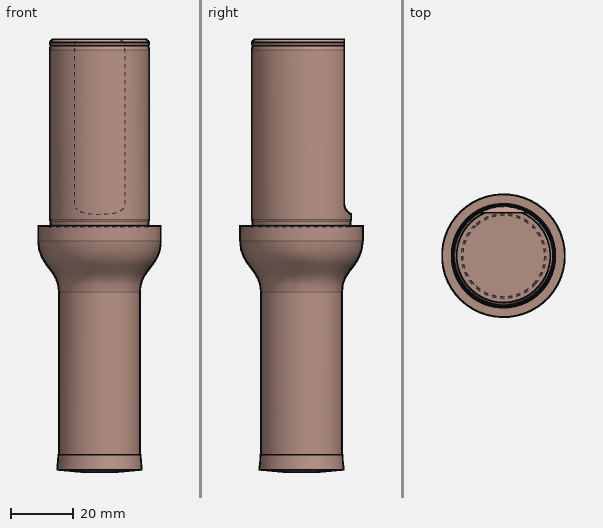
import cadquery as cq
import math

total_length = 139.0
cone_height = 0.8
cutting_head_top = 5.7
blend_bottom = 58.0
flange_bottom = 74.4
flange_top = 79.1

head_radius = 27.2 / 2
head_top_radius = 26.4 / 2
end_flat_radius = 4.6
neck_radius = 26.1 / 2
flange_radius = 39.5 / 2
shank_radius = 32.0 / 2
relief_radius = 31.5 / 2

lower_relief_height = 1.4
relief_taper = 0.7
undercut_radius = 33.4 / 2
undercut_floor = flange_top - 0.3
undercut_round = 0.5
chamfer = 1.0
end_land_bottom = total_length - 1.4
upper_relief_top = total_length - 2.2
upper_relief_bottom = total_length - 3.5

flat_distance = 13.8
flat_round_radius = 3.6
flat_round_start = 86.2

blend_middle_radius = 16.7
blend_middle = (blend_middle_radius, (blend_bottom + flange_bottom) / 2)
upright = (0, 1)


def arc_point(centre_radius, centre_z, radius, angle):
    """Point on a profile arc, as (distance from axis, height)."""
    return (centre_radius + radius * math.cos(angle), centre_z + radius * math.sin(angle))


def make_cutting_head():
    """Slightly flared head with a shallow cone ending in a small flat."""
    return (
        cq.Workplane("XZ")
        .moveTo(0, 0)
        .lineTo(end_flat_radius, 0)
        .lineTo(head_radius, cone_height)
        .lineTo(head_top_radius, cutting_head_top)
        .lineTo(0, cutting_head_top)
        .close()
        .revolve(360, (0, 0), (0, 1))
    )


def make_turned_holder():
    """Neck, rounded flange and relieved shank as one turned body."""
    round_centre_x = relief_radius + undercut_round
    round_centre_z = undercut_floor + undercut_round
    round_middle = arc_point(round_centre_x, round_centre_z, undercut_round, math.radians(225))
    lower_relief_top = flange_top + lower_relief_height
    return (
        cq.Workplane("XZ")
        .moveTo(0, cutting_head_top)
        .lineTo(neck_radius, cutting_head_top)
        .lineTo(neck_radius, blend_bottom)
        .spline(
            [blend_middle, (flange_radius, flange_bottom)],
            tangents=[upright, upright],
            includeCurrent=True,
        )
        .lineTo(flange_radius, flange_top)
        .lineTo(undercut_radius, flange_top)
        .lineTo(round_centre_x, undercut_floor)
        .threePointArc(round_middle, (relief_radius, round_centre_z))
        .lineTo(relief_radius, lower_relief_top)
        .lineTo(shank_radius, lower_relief_top + relief_taper)
        .lineTo(shank_radius, upper_relief_bottom)
        .lineTo(relief_radius, upper_relief_top)
        .lineTo(shank_radius, end_land_bottom)
        .lineTo(shank_radius, total_length - chamfer)
        .lineTo(shank_radius - chamfer, total_length)
        .lineTo(0, total_length)
        .close()
        .revolve(360, (0, 0), (0, 1))
    )


def make_flat_cutter():
    """Removed stock beside the flat, ending below in a quarter round."""
    round_centre_y = flat_distance + flat_round_radius
    round_middle = arc_point(round_centre_y, flat_round_start, flat_round_radius, math.radians(225))
    return (
        cq.Workplane("YZ")
        .moveTo(flat_distance, total_length)
        .lineTo(flat_distance, flat_round_start)
        .threePointArc(round_middle, (round_centre_y, flat_round_start - flat_round_radius))
        .lineTo(round_centre_y, total_length)
        .close()
        .extrude(shank_radius, both=True)
    )


cutting_head = make_cutting_head()
holder = make_turned_holder().cut(make_flat_cutter())

result = cq.Compound.makeCompound([cutting_head.val(), holder.val()])